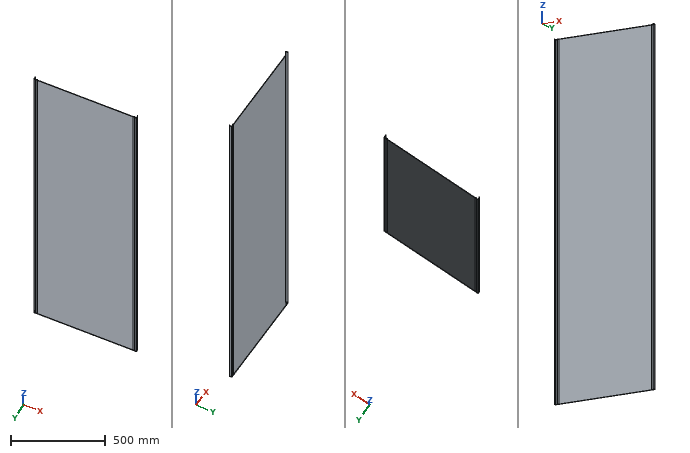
import cadquery as cq
import math

WIDTH = 600.0
DEPTH = 16.03
HEIGHT = 2000.0

SHEET_THICKNESS = 1.0

CURL_RADIUS = 6.0
CURL_ANGLE = 50.0

BEAD_INSET = 15.25
BEAD_RADIUS = 6.5
BEAD_HEIGHT = 3.0
BEAD_OUTER_ANGLE = 41.5
BEAD_INNER_ANGLE = 49.5

BACK_Y = DEPTH / 2
TIP_Y = -DEPTH / 2
PANEL_FRONT_Y = BACK_Y - SHEET_THICKNESS
SIDE_X = WIDTH / 2


def polar(center, radius, angle):
    """Point on a circle, with the angle in degrees from +X."""
    turn = math.radians(angle)
    return (center[0] + radius * math.cos(turn), center[1] + radius * math.sin(turn))


def add_arc(wire, center, radius, start_angle, end_angle):
    """Run a line to the start of an arc, then follow the arc to its end."""
    middle_angle = (start_angle + end_angle) / 2
    return wire.lineTo(*polar(center, radius, start_angle)).threePointArc(
        polar(center, radius, middle_angle), polar(center, radius, end_angle)
    )


def add_flange(wire):
    """Left leg: down its outside, around the curled tip and back up its inside."""
    center = (
        -SIDE_X + CURL_RADIUS,
        TIP_Y + CURL_RADIUS * math.sin(math.radians(CURL_ANGLE)),
    )
    tip_angle = 180 + CURL_ANGLE
    wire = add_arc(wire, center, CURL_RADIUS, 180, tip_angle)
    wire = add_arc(wire, center, CURL_RADIUS - SHEET_THICKNESS, tip_angle, 180)
    return wire.lineTo(-SIDE_X + SHEET_THICKNESS, PANEL_FRONT_Y)


def add_bead(wire):
    """Left bead: a round-topped ridge standing out of the panel's front face."""
    center = (-SIDE_X + BEAD_INSET, PANEL_FRONT_Y - BEAD_HEIGHT + BEAD_RADIUS)
    start_angle = 270 - BEAD_OUTER_ANGLE
    end_angle = 270 + BEAD_INNER_ANGLE
    outer_x = polar(center, BEAD_RADIUS, start_angle)[0]
    inner_x = polar(center, BEAD_RADIUS, end_angle)[0]
    wire = wire.lineTo(outer_x, PANEL_FRONT_Y)
    wire = add_arc(wire, center, BEAD_RADIUS, start_angle, end_angle)
    return wire.lineTo(inner_x, PANEL_FRONT_Y)


def half_panel():
    """Left half of the panel, from the side edge to the middle plane."""
    wire = cq.Workplane("XY", origin=(0, 0, -HEIGHT / 2)).moveTo(-SIDE_X, BACK_Y)
    wire = add_bead(add_flange(wire))
    wire = wire.lineTo(0, PANEL_FRONT_Y).lineTo(0, BACK_Y)
    return wire.close().extrude(HEIGHT)


left_half = half_panel()
result = left_half.union(left_half.mirror("YZ")).clean()